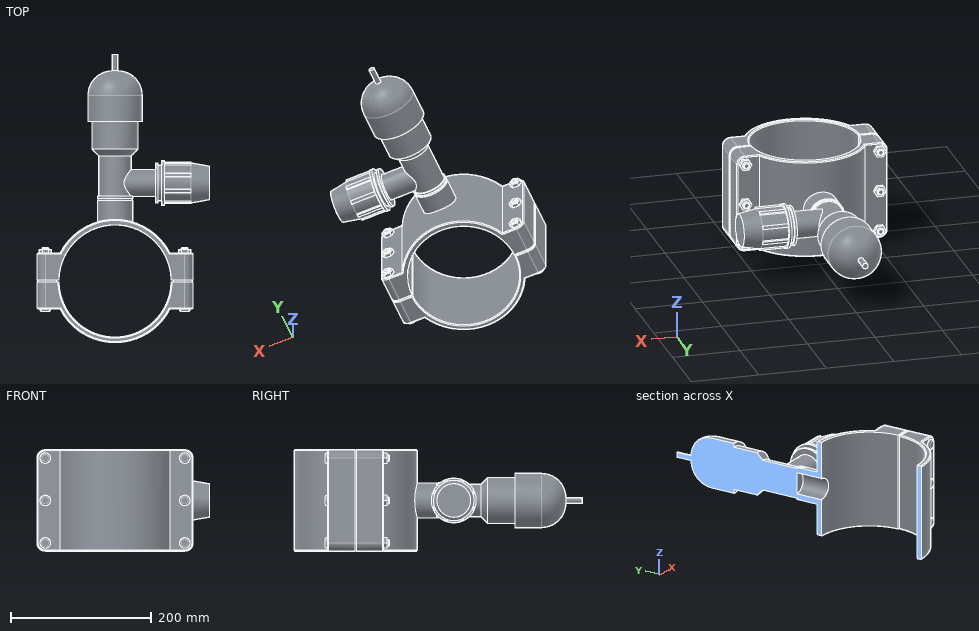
import cadquery as cq
import math

clamp_height = 145.0
bore_radius = 80.0
shell_radius = 88.0
flange_half_width = 111.5
flange_depth = 40.0
flange_corner_radius = 12.0
edge_chamfer = 1.5

gap_width = 2.6
gap_recess = 1.0
bore_gap_depth = 3.0

bolt_x = flange_half_width - flange_corner_radius
bolt_z = clamp_height / 2 - flange_corner_radius
bolt_diameter = 10.0
head_diameter = 15.0
head_height = 3.5
head_fillet = 2.5
nut_across_flats = 15.0
nut_height = 5.0
bolt_end_length = 3.0
bolt_end_chamfer = 1.5

pipe_diameter = 38.95
tee_radius = 1.2 * pipe_diameter / 2
socket_radius = 1.3 * pipe_diameter / 2
body_radius = 1.7 * pipe_diameter / 2
cap_radius = pipe_diameter
dome_radius = 0.9 * pipe_diameter
cap_length = 0.97 * pipe_diameter
stem_radius = 8.19 / 2
port_radius = 32.0 / 2
groove_depth = 0.7
groove_start_y = 115.2
groove_end_y = 117.6
socket_end_y = 121.3
cone_start_y = 178.7
body_start_y = cone_start_y + pipe_diameter / 4
cap_start_y = body_start_y + pipe_diameter
dome_start_y = cap_start_y + cap_length
stem_end_y = 411.69 - shell_radius

coupling_size = 32.0
coupling_y = 140.0
branch_radius = pipe_diameter / 2
rim_radius = 1.8 * coupling_size / 2
neck_radius = 1.6 * coupling_size / 2
collar_radius = 2.0 * coupling_size / 2
grip_radius = 1.8 * coupling_size / 2
tip_radius = 1.5 * coupling_size / 2
rim_start_x = 57.8
rim_end_x = 61.2
collar_start_x = 66.6
collar_end_x = 70.5
grip_end_x = 108.5
tip_end_x = 246.5 - flange_half_width
rib_count = 8
rib_width = 5.0
rib_radius = 31.0


def flange_block(half_width, depth, height, corner_radius):
    """Block centred on the split plane, with corners rounded about Y."""
    return (
        cq.Workplane("XY")
        .box(2 * half_width, depth, height)
        .edges("|Y")
        .fillet(corner_radius)
    )


def clamp_body():
    shell = (
        cq.Workplane("XY")
        .cylinder(clamp_height, shell_radius)
        .faces("<Z or >Z")
        .edges()
        .chamfer(edge_chamfer)
    )
    flanges = (
        flange_block(flange_half_width, 2 * flange_depth, clamp_height, flange_corner_radius)
        .faces("<Y or >Y")
        .edges()
        .chamfer(edge_chamfer)
    )
    return shell.union(flanges)


def cut_bore(body):
    """Cut the bore and the end chamfers of its front half."""
    half_height = clamp_height / 2
    wide_radius = bore_radius + edge_chamfer
    body = body.cut(cq.Workplane("XY").cylinder(clamp_height, bore_radius))
    end_cone = cq.Workplane(
        cq.Solid.makeCone(
            bore_radius,
            wide_radius,
            edge_chamfer,
            cq.Vector(0, 0, half_height - edge_chamfer),
            cq.Vector(0, 0, 1),
            180,
        )
    ).rotate((0, 0, 0), (0, 0, 1), 180)
    return body.cut(end_cone).cut(end_cone.mirror("XY"))


def cut_split_gap(body):
    """Cut the gap between the halves, leaving a recessed joint plate in each flange pair."""
    gap = cq.Workplane("XY").box(3 * flange_half_width, gap_width, 2 * clamp_height)
    plate = flange_block(
        flange_half_width - gap_recess,
        gap_width,
        clamp_height - 2 * gap_recess,
        flange_corner_radius - gap_recess,
    )
    inner_space = cq.Workplane("XY").box(2 * (bore_radius + bore_gap_depth), gap_width, clamp_height)
    return body.cut(gap.cut(plate.cut(inner_space)))


def bolt(x, z):
    """Round head on the -Y face, hex nut and bolt end on the +Y face."""
    nut_end = flange_depth + nut_height
    back = cq.Workplane("XZ", origin=(x, -flange_depth, z))
    head = back.circle(head_diameter / 2).extrude(head_height)
    head = head.faces("<Y").edges().fillet(head_fillet)
    corner_diameter = nut_across_flats / math.cos(math.pi / 6)
    nut = (
        cq.Workplane("XZ", origin=(x, nut_end, z))
        .polygon(6, corner_diameter)
        .extrude(nut_height)
    )
    end = (
        cq.Workplane("XZ", origin=(x, nut_end + bolt_end_length, z))
        .circle(bolt_diameter / 2)
        .extrude(bolt_end_length + nut_height)
        .faces(">Y")
        .chamfer(bolt_end_chamfer)
    )
    return head.union(nut).union(end)


def tee_housing():
    """Socket, tee, stepped body and domed cap, revolved about the Y axis."""
    groove_radius = socket_radius - groove_depth
    dome_end_y = dome_start_y + dome_radius
    dome_centre_x = cap_radius - dome_radius
    arc_offset = dome_radius * math.sqrt(0.5)
    return (
        cq.Workplane("XY")
        .moveTo(0, bore_radius)
        .lineTo(socket_radius, bore_radius)
        .lineTo(socket_radius, groove_start_y)
        .lineTo(groove_radius, groove_start_y)
        .lineTo(groove_radius, groove_end_y)
        .lineTo(socket_radius, groove_end_y)
        .lineTo(socket_radius, socket_end_y)
        .lineTo(tee_radius, socket_end_y)
        .lineTo(tee_radius, cone_start_y)
        .lineTo(body_radius, body_start_y)
        .lineTo(body_radius, cap_start_y)
        .lineTo(cap_radius, cap_start_y)
        .lineTo(cap_radius, dome_start_y)
        .threePointArc(
            (dome_centre_x + arc_offset, dome_start_y + arc_offset),
            (dome_centre_x, dome_end_y),
        )
        .lineTo(0, dome_end_y)
        .close()
        .revolve(360, (0, 0, 0), (0, 1, 0))
    )


def stem():
    return (
        cq.Workplane("XZ", origin=(0, stem_end_y, 0))
        .circle(stem_radius)
        .extrude(stem_end_y - dome_start_y)
    )


def coupling():
    """Branch pipe and ribbed compression nut, revolved about the branch axis."""
    axis = cq.Workplane("XY", origin=(0, coupling_y, 0))
    profile = (
        axis.moveTo(0, 0)
        .lineTo(0, branch_radius)
        .lineTo(rim_start_x, branch_radius)
        .lineTo(rim_start_x, rim_radius)
        .lineTo(rim_end_x, rim_radius)
        .lineTo(rim_end_x, neck_radius)
        .lineTo(collar_start_x, neck_radius)
        .lineTo(collar_start_x, collar_radius)
        .lineTo(collar_end_x, collar_radius)
        .lineTo(collar_end_x, grip_radius)
        .lineTo(grip_end_x, grip_radius)
        .lineTo(tip_end_x, tip_radius)
        .lineTo(tip_end_x, 0)
        .close()
    )
    body = profile.revolve(360, (0, 0, 0), (1, 0, 0))
    rib_pitch = 360 / rib_count
    rib_length = grip_end_x - collar_end_x
    rib = cq.Workplane("XY").box(rib_length, rib_radius, rib_width, centered=(False, False, True))
    for index in range(rib_count):
        angle = (index + 0.5) * rib_pitch
        turned = rib.rotate((0, 0, 0), (1, 0, 0), angle)
        body = body.union(turned.translate((collar_end_x, coupling_y, 0)))
    return body


def port_cut():
    """Port from the clamp bore through the socket."""
    return cq.Workplane("XZ", origin=(0, socket_end_y, 0)).circle(port_radius).extrude(socket_end_y)


result = clamp_body().union(tee_housing()).union(stem()).union(coupling())
result = cut_split_gap(cut_bore(result)).cut(port_cut())
for bolt_side in (-1, 1):
    for bolt_row in (-1, 0, 1):
        result = result.union(bolt(bolt_side * bolt_x, bolt_row * bolt_z))